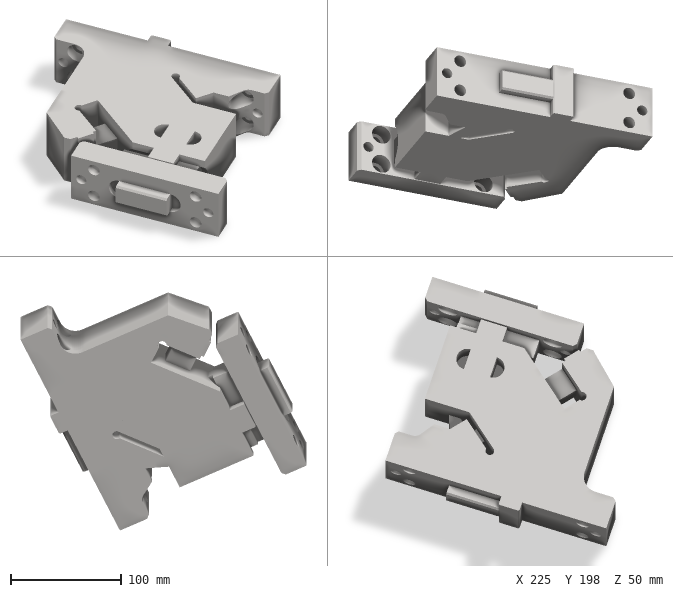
import cadquery as cq
import math

THICKNESS = 50.0
HALF = THICKNESS / 2
TOTAL_X = 225.0
TOTAL_Y = 198.0
KEY_LENGTH = 50.0
KEY_WIDTH = 20.0
KEY_HEIGHT = 8.5
KEY_CHAMFER = 1.7
CORNER_CHAMFER = 3.0
BOLT_DIAMETER = 11.5
BOLT_Z = 15.0
COUNTERBORE_DIAMETER = 18.0
BASE_COUNTERBORE_DEPTH = 16.0
FLANGE_COUNTERBORE_DEPTH = 11.0
DOWEL_DIAMETER = 10.0
DOWEL_EDGE = 10.0

BASE_LENGTH = 145.0
BASE_DEPTH = 23.8
BASE_LEFT = TOTAL_X - BASE_LENGTH
BASE_BACK = KEY_HEIGHT + BASE_DEPTH
BASE_CENTER_X = BASE_LEFT + BASE_LENGTH / 2
BASE_BOLT_EDGE = 22.5
KEY_SLOT_LENGTH = 70.5
KEY_SLOT_DEPTH = 5.0

ROCKER_LENGTH = 75.0
ROCKER_LEFT = BASE_CENTER_X - ROCKER_LENGTH / 2
ROCKER_RIGHT = BASE_CENTER_X + ROCKER_LENGTH / 2
GROOVE_RADIUS = 22.5
GROOVE_Y = 33.0
GROOVE_MOUTH_HALF = 17.4
ROCKER_STEM_HALF = 12.0
ROCKER_STEM_BACK = 50.2
ROCKER_NOSE_HALF = 5.0
ROCKER_HOOK_HALF = 17.2
ROCKER_HOOK_FRONT = 40.8

TILT = math.radians(50.0)
SLIDE_WIDTH = 75.0
SLIDE_CORNER_X = 71.7
SLIDE_CORNER_Y = 92.0
SLOT_GAP_LOW = 21.8
SLOT_GAP_HIGH = 5.5
SLOT_LOW = -SLOT_GAP_LOW
SLOT_HIGH = SLIDE_WIDTH + SLOT_GAP_HIGH
RELIEF_RADIUS = 4.0
RELIEF_OFFSET = 1.7

SLIDE_RIGHT = 195.3
SLIDE_FRONT = 47.8
SLIDE_BACK = 121.9
TONGUE_WIDTH = 25.0
TONGUE_LEFT = 145.3
TONGUE_RIGHT = TONGUE_LEFT + TONGUE_WIDTH
TONGUE_FRONT = 33.7
POCKET_RADIUS = 10.0
POCKET_Y = 74.0
POCKET_DEPTH = 20.0

HOLDER_LENGTH = 211.0
HOLDER_BACK = TOTAL_Y - KEY_HEIGHT
FLANGE_DEPTH = 30.4
FLANGE_FRONT = HOLDER_BACK - FLANGE_DEPTH
NECK_LEFT = 35.4
NECK_FILLET = 15.0
NECK_BEND_Y = 57.8
TIP_FACET_X = 61.4
TIP_FACET_Y = 33.1
TIP_LEFT = 63.9
TIP_Y = 30.4
ARM_REACH = 38.6
ARM_PAD_HEIGHT = 2.4
ARM_PAD_TOP = SLOT_LOW - 3.5
ARM_PAD_WIDTH = 16.0
SHELF_Y = 142.6
SHELF_RIGHT = 179.6
FLANGE_SLOPE_X = 191.0
SHOULDER_FILLET = 8.0
LEDGE_RIGHT = 172.4
LEDGE_TOP = 0.0
BAR_HALF = 8.0
LOW_BAR_START = 14.3
HIGH_BAR_START = 17.0
HIGH_BAR_END_AT_WALL = 29.2
HIGH_BAR_END_AT_SLIDE = 31.0
BOLT_EDGE = 22.8
BOSS_LEFT = 80.4
BOSS_RIGHT = 100.2
BOSS_CHAMFER = 1.0


def slideway(u, v):
    """Point (X, Y) at distance u along the back wall and v out from it."""
    x = SLIDE_CORNER_X + u * math.cos(TILT) + v * math.sin(TILT)
    y = SLIDE_CORNER_Y + u * math.sin(TILT) - v * math.cos(TILT)
    return x, y


def meet_level(u, y):
    """Point where the line of constant u reaches the level Y = y."""
    v = (SLIDE_CORNER_Y + u * math.sin(TILT) - y) / math.cos(TILT)
    return slideway(u, v)


def slideway_at_level(v, y):
    """Point where the line of constant v reaches the level Y = y."""
    u = (y - SLIDE_CORNER_Y + v * math.cos(TILT)) / math.sin(TILT)
    return slideway(u, v)


def plate(points, bottom=-HALF, top=HALF):
    """Closed XY outline raised from bottom to top."""
    return cq.Workplane("XY").workplane(offset=bottom).polyline(points).close().extrude(top - bottom)


def block(x0, x1, y0, y1, half_z):
    """Box between the X and Y limits, centred on Z = 0."""
    return plate([(x0, y0), (x1, y0), (x1, y1), (x0, y1)], -half_z, half_z)


def y_cylinder(x, z, diameter, y0, y1):
    """Cylinder along Y from y0 to y1."""
    axis_plane = cq.Workplane("XZ", origin=(x, y0, z))
    return axis_plane.circle(diameter / 2).extrude(y0 - y1)


def groove_space():
    """Cylinder along X with flats at the mouth, shaping both the slide groove and the rocker."""
    axis_plane = cq.Workplane("YZ", origin=(0, GROOVE_Y, 0))
    cylinder = axis_plane.circle(GROOVE_RADIUS).extrude(TOTAL_X)
    return cylinder.intersect(block(0, TOTAL_X, 0, TOTAL_Y, GROOVE_MOUTH_HALF))


def cut_bolts_and_dowels(body, bolt_xs, dowel_xs, y0, y1):
    """Drill a pair of bolt holes at each bolt X and one dowel hole at each dowel X."""
    for x in bolt_xs:
        for z in (-BOLT_Z, BOLT_Z):
            body = body.cut(y_cylinder(x, z, BOLT_DIAMETER, y0, y1))
    for x in dowel_xs:
        body = body.cut(y_cylinder(x, 0, DOWEL_DIAMETER, y0, y1))
    return body


def cut_counterbores(body, bolt_xs, y0, y1):
    """Counterbore the pair of bolt holes at each bolt X from y0 to y1."""
    for x in bolt_xs:
        for z in (-BOLT_Z, BOLT_Z):
            body = body.cut(y_cylinder(x, z, COUNTERBORE_DIAMETER, y0, y1))
    return body


def make_rocker():
    middle = BASE_CENTER_X
    groove_floor = GROOVE_Y + GROOVE_RADIUS
    stem = block(ROCKER_LEFT, ROCKER_RIGHT, BASE_BACK, ROCKER_STEM_BACK, ROCKER_STEM_HALF)
    nose = block(ROCKER_LEFT, ROCKER_RIGHT, BASE_BACK, groove_floor, ROCKER_NOSE_HALF)
    hook = block(middle, ROCKER_RIGHT, ROCKER_HOOK_FRONT, groove_floor, ROCKER_HOOK_HALF)
    return stem.union(nose).union(hook).intersect(groove_space())


def make_base():
    body = block(BASE_LEFT, TOTAL_X, KEY_HEIGHT, BASE_BACK, HALF)
    body = body.faces(">Y").edges("|Z").chamfer(CORNER_CHAMFER)
    key_slot = (
        cq.Workplane("XZ", origin=(BASE_CENTER_X, KEY_HEIGHT, 0))
        .slot2D(KEY_SLOT_LENGTH, KEY_WIDTH)
        .extrude(-KEY_SLOT_DEPTH)
    )
    key_left = BASE_CENTER_X - KEY_LENGTH / 2
    key = block(key_left, key_left + KEY_LENGTH, 0, KEY_HEIGHT + KEY_SLOT_DEPTH, KEY_WIDTH / 2)
    key = key.faces("<Y").edges("|X").chamfer(KEY_CHAMFER)
    body = body.cut(key_slot).union(key)
    bolt_xs = (BASE_LEFT + BASE_BOLT_EDGE, TOTAL_X - BASE_BOLT_EDGE)
    dowel_xs = (BASE_LEFT + DOWEL_EDGE, TOTAL_X - DOWEL_EDGE)
    body = cut_bolts_and_dowels(body, bolt_xs, dowel_xs, 0, BASE_BACK)
    body = cut_counterbores(body, bolt_xs, BASE_BACK - BASE_COUNTERBORE_DEPTH, BASE_BACK)
    return body.union(make_rocker())


def make_slide():
    body = plate([
        slideway(0, 0),
        slideway(SLIDE_WIDTH, 0),
        meet_level(SLIDE_WIDTH, SLIDE_BACK),
        (SLIDE_RIGHT, SLIDE_BACK),
        (SLIDE_RIGHT, SLIDE_FRONT),
        (TONGUE_RIGHT, SLIDE_FRONT),
        (TONGUE_RIGHT, TONGUE_FRONT),
        (TONGUE_LEFT, TONGUE_FRONT),
        (TONGUE_LEFT, SLIDE_FRONT),
        meet_level(0, SLIDE_FRONT),
    ])
    body = body.cut(groove_space())

    for chord_x, side in ((TONGUE_LEFT, -1), (TONGUE_RIGHT, 1)):
        pocket = (
            cq.Workplane("XY", origin=(chord_x, POCKET_Y, HALF - POCKET_DEPTH))
            .moveTo(0, -POCKET_RADIUS)
            .threePointArc((side * POCKET_RADIUS, 0), (0, POCKET_RADIUS))
            .close()
            .extrude(POCKET_DEPTH)
        )
        body = body.cut(pocket)
    return body


def holder_outline():
    """Flange, neck and arm, with the slideway open toward the slide."""
    pad_bottom = ARM_PAD_TOP - ARM_PAD_WIDTH
    pad_reach = ARM_REACH + ARM_PAD_HEIGHT
    return plate([
        (0, HOLDER_BACK),
        (0, FLANGE_FRONT),
        (NECK_LEFT, FLANGE_FRONT),
        (NECK_LEFT, NECK_BEND_Y),
        (TIP_FACET_X, TIP_FACET_Y),
        (TIP_LEFT, TIP_Y),
        slideway_at_level(ARM_REACH, TIP_Y),
        slideway(pad_bottom, ARM_REACH),
        slideway(pad_bottom, pad_reach),
        slideway(ARM_PAD_TOP, pad_reach),
        slideway(ARM_PAD_TOP, ARM_REACH),
        slideway(SLOT_LOW, ARM_REACH),
        slideway(SLOT_LOW, 0),
        slideway(SLOT_HIGH, 0),
        slideway(SLOT_HIGH, ARM_REACH),
        slideway_at_level(ARM_REACH, SHELF_Y),
        (SHELF_RIGHT, SHELF_Y),
        (FLANGE_SLOPE_X, FLANGE_FRONT),
        (HOLDER_LENGTH, FLANGE_FRONT),
        (HOLDER_LENGTH, HOLDER_BACK),
    ])


def make_holder():
    body = holder_outline()
    neck = cq.selectors.NearestToPointSelector((NECK_LEFT, FLANGE_FRONT, 0))
    body = body.edges(neck).fillet(NECK_FILLET)
    shoulder = cq.selectors.NearestToPointSelector((FLANGE_SLOPE_X, FLANGE_FRONT, 0))
    body = body.edges(shoulder).fillet(SHOULDER_FILLET)
    for x in (0, HOLDER_LENGTH):
        flange_corner = cq.selectors.NearestToPointSelector((x, FLANGE_FRONT, 0))
        body = body.edges(flange_corner).chamfer(CORNER_CHAMFER)

    low_bar = plate([
        slideway(0, LOW_BAR_START),
        slideway(SLOT_LOW, LOW_BAR_START),
        slideway(SLOT_LOW, ARM_REACH),
        slideway(0, ARM_REACH),
    ], -BAR_HALF, BAR_HALF)
    high_bar = plate([
        slideway(SLIDE_WIDTH, HIGH_BAR_START),
        slideway(SLOT_HIGH, HIGH_BAR_START),
        slideway(SLOT_HIGH, HIGH_BAR_END_AT_WALL),
        slideway(SLIDE_WIDTH, HIGH_BAR_END_AT_SLIDE),
    ], -BAR_HALF, BAR_HALF)
    body = body.union(low_bar).union(high_bar)

    for u in (SLOT_LOW + RELIEF_OFFSET, SLOT_HIGH - RELIEF_OFFSET):
        center = slideway(u, RELIEF_OFFSET)
        relief = cq.Workplane("XY", origin=(*center, -HALF)).circle(RELIEF_RADIUS).extrude(THICKNESS)
        body = body.cut(relief)

    ledge = plate([
        slideway(SLOT_HIGH, ARM_REACH),
        slideway_at_level(ARM_REACH, SHELF_Y),
        (LEDGE_RIGHT, SLIDE_BACK),
        meet_level(SLOT_HIGH, SLIDE_BACK),
    ], -HALF, LEDGE_TOP)
    body = body.union(ledge)

    boss = block(BOSS_LEFT, BOSS_RIGHT, HOLDER_BACK, TOTAL_Y, HALF)
    boss = boss.faces(">Y").edges("|Z").chamfer(BOSS_CHAMFER)
    key = block(BOSS_RIGHT, BOSS_RIGHT + KEY_LENGTH, HOLDER_BACK, TOTAL_Y, KEY_WIDTH / 2)
    key = key.faces(">Y").edges("|X").chamfer(KEY_CHAMFER)
    body = body.union(boss).union(key)

    bolt_xs = (BOLT_EDGE, HOLDER_LENGTH - BOLT_EDGE)
    seat_y = FLANGE_FRONT + FLANGE_COUNTERBORE_DEPTH
    body = cut_counterbores(body, bolt_xs, SHELF_Y, seat_y)
    dowel_xs = (DOWEL_EDGE, HOLDER_LENGTH - DOWEL_EDGE)
    return cut_bolts_and_dowels(body, bolt_xs, dowel_xs, FLANGE_FRONT, HOLDER_BACK)


base = make_base()
slide = make_slide()
holder = make_holder()

result = cq.Compound.makeCompound([*base.solids().vals(), *slide.solids().vals(), *holder.solids().vals()])